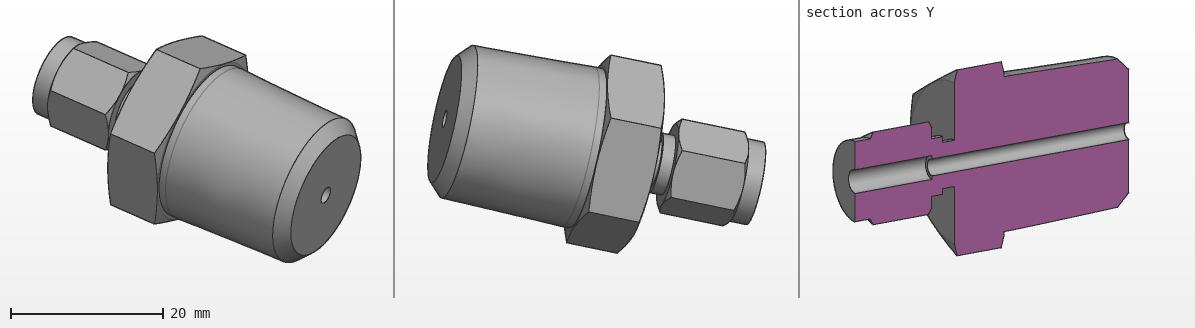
import cadquery as cq
import math


overall_length = 42.15
nut_hex_start = 2.3
nut_hex_end = 11.85
collar_end = 13.5
body_hex_start = 15.25
body_hex_end = 23.0
taper_start = 24.05

body_across_flats = 22.2
nut_across_flats = body_across_flats / 2
collar_diameter = 8.0
neck_diameter = 6.45
pipe_root_diameter = 21.4
pipe_tip_diameter = 20.5
pipe_tip_chamfer = 1.73

nut_bevel_angle = 30.0
body_bevel_angle = 15.0

tube_bore_diameter = 3.2
tube_bore_depth = nut_hex_end
through_bore_diameter = 2.28

HEX_SIDES = 6


def cylinder(start, end, diameter):
    return cq.Workplane("YZ", origin=(start, 0, 0)).circle(diameter / 2).extrude(end - start)


def revolve_about_axis(profile):
    return profile.close().revolve(360, (0, 0, 0), (1, 0, 0))


def beveled_hex(start, end, across_flats, bevel_angle):
    """Hex with corners up and down, bevelled by a cone from the inscribed circle at each end."""
    flat_radius = across_flats / 2
    corner_radius = flat_radius / math.cos(math.pi / HEX_SIDES)
    bevel_length = (corner_radius - flat_radius) * math.tan(math.radians(bevel_angle))
    prism = (
        cq.Workplane("YZ", origin=(start, 0, 0))
        .transformed(rotate=(0, 0, 90))
        .polygon(HEX_SIDES, 2 * corner_radius)
        .extrude(end - start)
    )
    envelope = revolve_about_axis(
        cq.Workplane("XZ")
        .moveTo(start, 0)
        .lineTo(start, flat_radius)
        .lineTo(start + bevel_length, corner_radius)
        .lineTo(end - bevel_length, corner_radius)
        .lineTo(end, flat_radius)
        .lineTo(end, 0)
    )
    return prism.intersect(envelope)


def pipe_end():
    """Short straight root, long taper and a 45 degree chamfer at the tip."""
    root_radius = pipe_root_diameter / 2
    tip_radius = pipe_tip_diameter / 2
    return revolve_about_axis(
        cq.Workplane("XZ")
        .moveTo(body_hex_end, 0)
        .lineTo(body_hex_end, root_radius)
        .lineTo(taper_start, root_radius)
        .lineTo(overall_length - pipe_tip_chamfer, tip_radius)
        .lineTo(overall_length, tip_radius - pipe_tip_chamfer)
        .lineTo(overall_length, 0)
    )


nut = cylinder(0, nut_hex_start, nut_across_flats).union(
    beveled_hex(nut_hex_start, nut_hex_end, nut_across_flats, nut_bevel_angle)
)
neck = cylinder(nut_hex_end, collar_end, collar_diameter).union(
    cylinder(collar_end, body_hex_start, neck_diameter)
)
body_hex = beveled_hex(body_hex_start, body_hex_end, body_across_flats, body_bevel_angle)

solid_fitting = nut.union(neck).union(body_hex).union(pipe_end())
tube_bore = cylinder(0, tube_bore_depth, tube_bore_diameter)
through_bore = cylinder(0, overall_length, through_bore_diameter)

result = solid_fitting.cut(tube_bore).cut(through_bore)